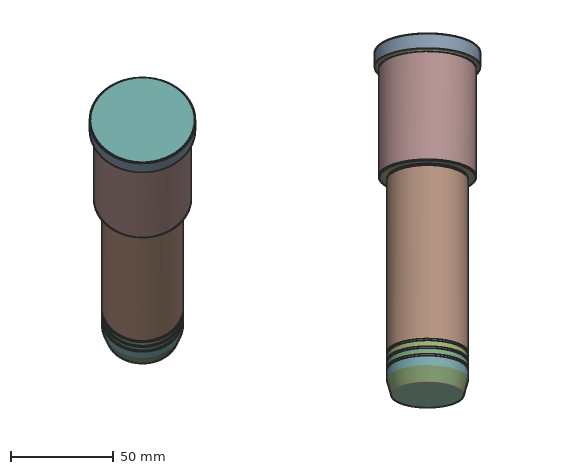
import cadquery as cq
import math

total_length = 180.0
head_diameter = 52.0
shoulder_diameter = 48.0
shaft_diameter = 40.0

head_height = 8.0
shoulder_end_depth = 66.0
taper_length = 8.0
taper_angle = 15.0

head_chamfer = 0.5
shoulder_chamfer = 0.5
shaft_end_radius = 0.5

relief_width = 1.0
relief_depth = 0.5

groove_radius = 0.5

oil_groove_count = 3
oil_groove_pitch = 4.0
first_oil_groove_height = 13.5

head_bottom = total_length - head_height
shoulder_bottom = total_length - shoulder_end_depth


def cylinder(diameter, bottom, top):
    """Solid cylinder on the Z axis between two heights."""
    return cq.Workplane("XY").workplane(offset=bottom).circle(diameter / 2).extrude(top - bottom)


def square_groove(diameter, bottom):
    """Ring that cuts a square relief groove into a cylinder, upwards from the given height."""
    outer = cylinder(diameter, bottom, bottom + relief_width)
    return outer.cut(cylinder(diameter - 2 * relief_depth, bottom, bottom + relief_width))


def round_groove(diameter, middle):
    """Torus that cuts a half-round groove into a cylinder, centred on the given height."""
    return cq.Workplane(cq.Solid.makeTorus(diameter / 2, groove_radius, cq.Vector(0, 0, middle)))


def make_head():
    head = cylinder(head_diameter, head_bottom, total_length)
    return head.faces(">Z").edges().chamfer(head_chamfer)


def make_shoulder():
    shoulder = cylinder(shoulder_diameter, shoulder_bottom, head_bottom)
    shoulder = shoulder.faces("<Z").edges().chamfer(shoulder_chamfer)
    return shoulder.cut(round_groove(shoulder_diameter, head_bottom - groove_radius))


def make_shaft():
    taper_inset = taper_length * math.tan(math.radians(taper_angle))
    shaft = cylinder(shaft_diameter, 0, shoulder_bottom)
    shaft = shaft.faces("<Z").edges().chamfer(taper_length, taper_inset)
    shaft = shaft.faces("<Z").edges().fillet(shaft_end_radius)
    shaft = shaft.cut(square_groove(shaft_diameter, shoulder_bottom - relief_width))
    for index in range(oil_groove_count):
        groove_middle = first_oil_groove_height + index * oil_groove_pitch
        shaft = shaft.cut(round_groove(shaft_diameter, groove_middle))
    return shaft


result = make_head().union(make_shoulder()).union(make_shaft())